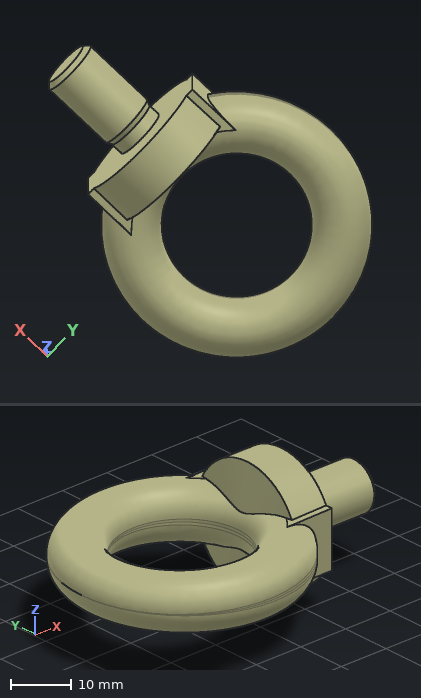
import cadquery as cq
import math

ring_outer_radius = 22.5
ring_inner_radius = 12.45
tube_radius = (ring_outer_radius - ring_inner_radius) / 2
crest_radius = (ring_outer_radius + ring_inner_radius) / 2
taper_angle = 1.0
skirt_depth = 1.85

collar_radius = 12.45
collar_back = 22.3
collar_thickness = 7.75
cone_angle = 8.0
block_width = 2 * collar_radius

total_length = 62.0
shank_radius = 10.0 / 2
neck_radius = 9.0 / 2
neck_length = 2.25
neck_taper_length = 1.0
tip_chamfer = 0.9

hinge_x = -ring_outer_radius
shank_end = total_length - ring_outer_radius
collar_front = collar_back - collar_thickness


def make_half_ring():
    """Upper half of the ring, tilted up about the far edge and walled down to mid-height."""
    arc_reach = tube_radius * math.cos(math.radians(45))
    tube = (
        cq.Workplane("XZ")
        .moveTo(ring_inner_radius, -skirt_depth)
        .lineTo(ring_inner_radius, 0)
        .threePointArc((crest_radius - arc_reach, arc_reach), (crest_radius, tube_radius))
        .threePointArc((crest_radius + arc_reach, arc_reach), (ring_outer_radius, 0))
        .lineTo(ring_outer_radius, -skirt_depth)
        .close()
        .revolve(360, (0, 0, 0), (0, 1, 0))
        .rotate((hinge_x, 0, 0), (hinge_x, 1, 0), -taper_angle)
    )
    cutter_size = 3 * ring_outer_radius
    below_middle = cq.Workplane("XY").rect(cutter_size, cutter_size).extrude(-cutter_size)
    return tube.cut(below_middle)


def make_ring():
    """Two mirrored halves whose walls meet at mid-height."""
    upper = make_half_ring()
    return upper.union(upper.mirror("XY"))


def make_block():
    """Block level with the ring crest, starting outside the crest circle."""
    far_half_height = tube_radius / math.cos(math.radians(taper_angle))
    end_half_height = far_half_height + (collar_back - hinge_x) * math.tan(math.radians(taper_angle))
    slab = (
        cq.Workplane("XZ")
        .polyline([
            (hinge_x, -far_half_height),
            (collar_back, -end_half_height),
            (collar_back, end_half_height),
            (hinge_x, far_half_height),
        ])
        .close()
        .extrude(block_width / 2, both=True)
    )
    shank_side = cq.Workplane("YZ").rect(block_width, block_width).extrude(collar_back)
    crest_cylinder = cq.Workplane("XY").circle(crest_radius).extrude(block_width, both=True)
    return slab.intersect(shank_side).cut(crest_cylinder)


def make_collar_and_shank():
    """Collar with a shallow cone towards the ring, undercut neck and chamfered shank."""
    cone_height = collar_radius * math.tan(math.radians(cone_angle))
    taper_start = collar_back + neck_length
    return (
        cq.Workplane("XY")
        .polyline([
            (collar_front - cone_height, 0),
            (collar_front, collar_radius),
            (collar_back, collar_radius),
            (collar_back, neck_radius),
            (taper_start, neck_radius),
            (taper_start + neck_taper_length, shank_radius),
            (shank_end - tip_chamfer, shank_radius),
            (shank_end, shank_radius - tip_chamfer),
            (shank_end, 0),
        ])
        .close()
        .revolve(360, (0, 0, 0), (1, 0, 0))
    )


result = make_ring().union(make_block()).union(make_collar_and_shank())